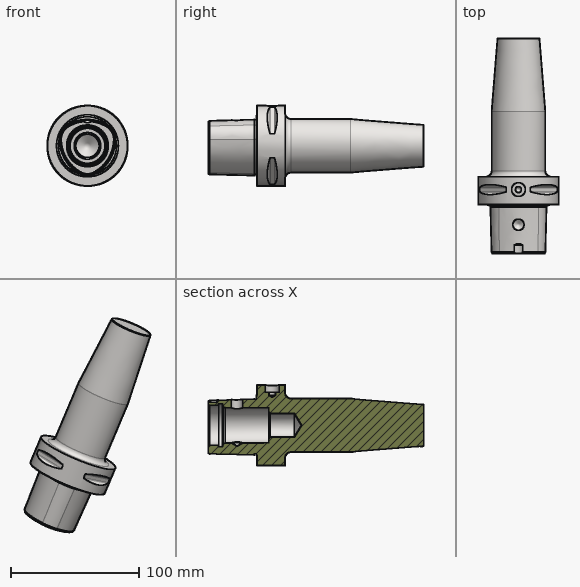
import cadquery as cq
import math

total_length = 168.0
shank_length = 38.0
body_length = total_length - shank_length

flange_radius = 63.0 / 2
flange_width = 22.0
flange_chamfer = 0.3
body_radius = 21.0
body_fillet = 4.5
nose_cone_length = 57.1
nose_radius = 16.5
nose_chamfer = 0.5

gauge_radius = 22.0
eccentricity = 1.4
taper_per_length = 1 / 40
lobe_angles = (30, 150, 270)
arc_turn = 60
end_chamfer_length = 1.3
end_chamfer_depth = 0.7

neck_length = 2.0
neck_inset = 0.2
neck_radius = 22.5
collar_radius = 24.2
collar_top_radius = 22.7
collar_height = 0.7

mouth_radius = 16.3
mouth_chamfer = 1.0
lip_radius = 15.5
lip_depth = 8.0
groove_radius = 16.6
groove_end_depth = 11.1
shoulder_radius = 14.3
shoulder_depth = 11.6
bore_radius = 13.6
bore_start_depth = 13.5
bore_depth = 47.0
inner_hole_radius = 10.5
inner_hole_chamfer = 1.3
inner_hole_depth = 67.2
drill_tip_angle = 118

shank_hole_radius = 4.4
shank_hole_y = -15.5
flange_hole_radius = 5.4
flange_hole_y = 12.0
flange_hole_depth = 5.5
pilot_radius = 2.4
pilot_depth = 2.5

notch_radius = 4.4
notch_axis_z = 22.3
notch_length = 6.5

slot_angles = (45, 135, 225, 315)
slot_floor_distance = 27.9
slot_floor_width = 3.5
slot_floor_fillet = 0.7
slot_wall_angle = 31


def tip_length(radius):
    """Length of the cone a drill of this radius leaves."""
    return radius / math.tan(math.radians(drill_tip_angle / 2))


def polar(radius, degrees):
    angle = math.radians(degrees)
    return radius * math.cos(angle), radius * math.sin(angle)


def lobed_outline(plane, inset):
    """Closed outline of six tangent arcs, moved inward by `inset`.

    All arc centres lie at one distance from the axis: a lobe's in its own direction and a
    flank's on the opposite side, so neighbouring arcs are tangent.
    """
    centre_distance = 2 * eccentricity / (2 - math.sqrt(3))
    lobe_arc = gauge_radius + eccentricity - centre_distance - inset
    flank_arc = gauge_radius - eccentricity + centre_distance - inset
    half_turn = arc_turn / 2

    def on_arc(lobe_angle, arc_radius, normal_angle):
        centre_x, centre_z = polar(centre_distance, lobe_angle)
        x, z = polar(arc_radius, normal_angle)
        return centre_x + x, centre_z + z

    outline = plane.moveTo(*on_arc(lobe_angles[0], lobe_arc, lobe_angles[0] - half_turn))
    for angle in lobe_angles:
        flank_angle = angle + arc_turn
        opposite_lobe = flank_angle + 180
        outline = outline.threePointArc(
            on_arc(angle, lobe_arc, angle), on_arc(angle, lobe_arc, angle + half_turn)
        ).threePointArc(
            on_arc(opposite_lobe, flank_arc, flank_angle),
            on_arc(opposite_lobe, flank_arc, flank_angle + half_turn),
        )
    return outline.close()


def lobed_frustum(start, start_inset, end, end_inset):
    """Lobed solid between two distances below the gauge plane."""
    outline = lobed_outline(cq.Workplane("XZ", origin=(0, -start, 0)), start_inset)
    outline = lobed_outline(outline.workplane(offset=end - start), end_inset)
    return outline.loft(ruled=True, combine=True)


def revolved(profile):
    """Solid of revolution about Y from a closed sketch in the XY plane."""
    return profile.close().revolve(360, (0, 0, 0), (0, 1, 0))


def body():
    profile = (
        cq.Workplane("XY")
        .lineTo(flange_radius - flange_chamfer, 0)
        .lineTo(flange_radius, flange_chamfer)
        .lineTo(flange_radius, flange_width)
        .lineTo(body_radius + body_fillet, flange_width)
        .radiusArc((body_radius, flange_width + body_fillet), body_fillet)
        .lineTo(body_radius, body_length - nose_cone_length)
        .lineTo(nose_radius, body_length - nose_chamfer)
        .lineTo(nose_radius - nose_chamfer, body_length)
        .lineTo(0, body_length)
    )
    return revolved(profile)


def shank():
    chamfer_start = shank_length - end_chamfer_length
    taper_start_inset = neck_length * taper_per_length
    taper_end_inset = chamfer_start * taper_per_length
    end_inset = shank_length * taper_per_length + end_chamfer_depth
    taper = lobed_frustum(neck_length, taper_start_inset, chamfer_start, taper_end_inset)
    end = lobed_frustum(chamfer_start, taper_end_inset, shank_length, end_inset)
    neck_round = cq.Workplane("XZ").circle(neck_radius).extrude(neck_length)
    neck = lobed_frustum(0, neck_inset, neck_length, neck_inset).intersect(neck_round)
    collar = revolved(
        cq.Workplane("XY")
        .lineTo(collar_radius, 0)
        .lineTo(collar_top_radius, -collar_height)
        .lineTo(0, -collar_height)
    )
    return taper.union(end).union(neck).union(collar)


def stepped_bore():
    tip_radius = inner_hole_radius - inner_hole_chamfer
    steps = (
        (mouth_radius, 0),
        (lip_radius, mouth_chamfer),
        (lip_radius, lip_depth),
        (groove_radius, lip_depth),
        (groove_radius, groove_end_depth),
        (shoulder_radius, shoulder_depth),
        (bore_radius, bore_start_depth),
        (bore_radius, bore_depth),
        (inner_hole_radius, bore_depth),
        (tip_radius, bore_depth + inner_hole_chamfer),
        (tip_radius, inner_hole_depth),
        (0, inner_hole_depth + tip_length(tip_radius)),
    )
    profile = cq.Workplane("XY").moveTo(0, -shank_length)
    for radius, depth in steps:
        profile = profile.lineTo(radius, depth - shank_length)
    return revolved(profile)


def drilled_hole(radius, y, start_z, end_z):
    """Round hole drilled down along Z, its drill tip reaching below `end_z`."""
    profile = (
        cq.Workplane("XY")
        .moveTo(0, start_z)
        .lineTo(radius, start_z)
        .lineTo(radius, end_z)
        .lineTo(0, end_z - tip_length(radius))
    )
    return revolved(profile).rotate((0, 0, 0), (1, 0, 0), 90).translate((0, y, 0))


def shank_hole():
    """Radial hole through the +Z wall, its drill tip marking the far wall of the bore."""
    return drilled_hole(shank_hole_radius, shank_hole_y, gauge_radius, -bore_radius)


def flange_hole():
    """Flat-bottomed radial hole with a drilled pilot in its floor."""
    floor_z = flange_radius - flange_hole_depth
    hole = (
        cq.Workplane("XY", origin=(0, flange_hole_y, floor_z))
        .circle(flange_hole_radius)
        .extrude(flange_hole_depth)
    )
    return hole.union(drilled_hole(pilot_radius, flange_hole_y, floor_z, floor_z - pilot_depth))


def end_notch():
    profile = (
        cq.Workplane("XY")
        .lineTo(notch_radius, 0)
        .lineTo(notch_radius, notch_length)
        .lineTo(0, notch_length + tip_length(notch_radius))
    )
    return revolved(profile).translate((0, -shank_length, notch_axis_z))


def gripper_slot(angle):
    """Straight slot with leaning walls, facing outward at `angle` from +X toward +Z."""
    height = flange_radius - slot_floor_distance
    half_floor = slot_floor_width / 2
    half_top = half_floor + height * math.tan(math.radians(slot_wall_angle))
    slot = (
        cq.Workplane("XY")
        .polyline([
            (slot_floor_distance, flange_hole_y - half_floor),
            (flange_radius, flange_hole_y - half_top),
            (flange_radius, flange_hole_y + half_top),
            (slot_floor_distance, flange_hole_y + half_floor),
        ])
        .close()
        .extrude(flange_radius, both=True)
        .edges("|Z and <X")
        .fillet(slot_floor_fillet)
    )
    return slot.rotate((0, 0, 0), (0, 1, 0), -angle)


result = body().union(shank())
for cutter in (stepped_bore(), shank_hole(), flange_hole(), end_notch()):
    result = result.cut(cutter)
for slot_angle in slot_angles:
    result = result.cut(gripper_slot(slot_angle))